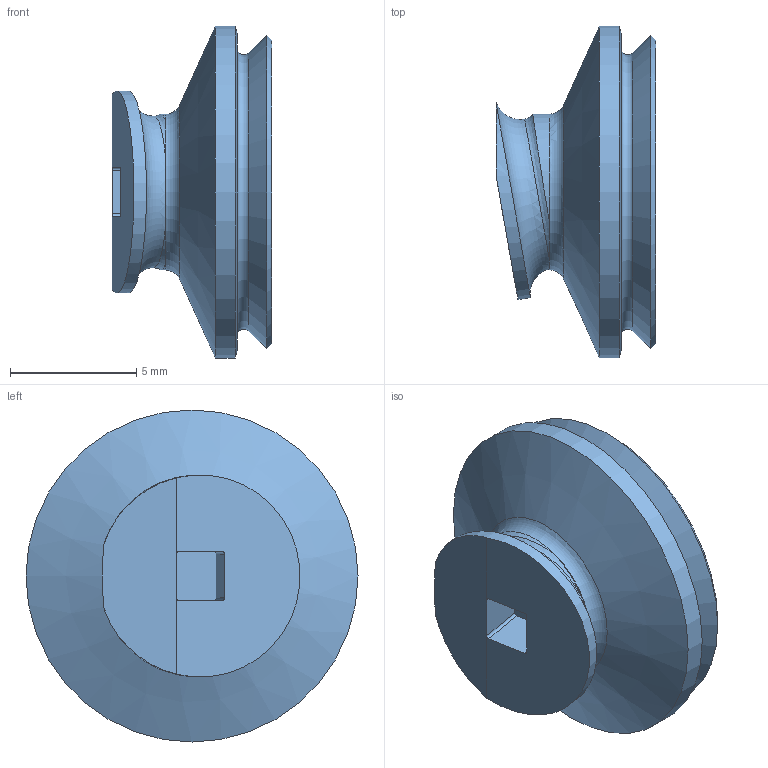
import cadquery as cq
import math


total_length = 6.31
flange_radius = 6.565
flange_front_x = 4.08
flange_back_x = 4.94
flange_chamfer_width = 0.07
flange_chamfer_height = 0.29

groove_round = 0.26
groove_floor_radius = 5.42
lip_radius = 6.19
lip_chamfer = 0.2

neck_radius = 3.08
neck_end_x = 2.1
neck_fillet = 0.63
cone_degrees = 65.4

tilt_degrees = 10
knob_centre_x = 0.167
knob_centre_y = -0.335
knob_radius = 4.0
knob_rim_width = 0.5
finger_groove_radius = 1.0
rear_groove_radius = 0.5
finger_groove_depth = knob_rim_width + finger_groove_radius
finger_groove_centre = (knob_radius, finger_groove_depth)
finger_groove_floor = (knob_radius - finger_groove_radius, finger_groove_depth)

socket_size = 1.94
socket_depth = 1.93
socket_corner_radius = 0.1


def arc_point(centre, radius, angle_degrees):
    """Point on a circle at an angle measured from the first axis."""
    angle = math.radians(angle_degrees)
    return (centre[0] + radius * math.cos(angle), centre[1] + radius * math.sin(angle))


def make_body():
    """Front cone, flange, V groove and lip, revolved about X."""
    fillet_centre = (neck_end_x, neck_radius + neck_fillet)
    fillet_middle = arc_point(fillet_centre, neck_fillet, -90 + cone_degrees / 2)
    fillet_end = arc_point(fillet_centre, neck_fillet, -90 + cone_degrees)

    groove_centre = (flange_back_x + groove_round, groove_floor_radius + groove_round)
    groove_start = arc_point(groove_centre, groove_round, 180)
    groove_middle = arc_point(groove_centre, groove_round, -90)
    groove_end = arc_point(groove_centre, groove_round, -45)

    profile = (
        cq.Workplane("XY")
        .moveTo(neck_end_x, 0)
        .lineTo(neck_end_x, neck_radius)
        .threePointArc(fillet_middle, fillet_end)
        .lineTo(flange_front_x, flange_radius)
        .lineTo(flange_back_x - flange_chamfer_width, flange_radius)
        .lineTo(flange_back_x, flange_radius - flange_chamfer_height)
        .lineTo(*groove_start)
        .threePointArc(groove_middle, groove_end)
        .lineTo(total_length - lip_chamfer, lip_radius)
        .lineTo(total_length, lip_radius - lip_chamfer)
        .lineTo(total_length, 0)
        .close()
    )
    return profile.revolve(360, (0, 0, 0), (1, 0, 0))


def knob_plane():
    """Plane of the knob face, its normal pointing into the part."""
    tilt = math.radians(tilt_degrees)
    return cq.Plane(
        origin=(knob_centre_x, knob_centre_y, 0),
        xDir=(-math.sin(tilt), math.cos(tilt), 0),
        normal=(math.cos(tilt), math.sin(tilt), 0),
    )


def knob_profile_workplane():
    """Plane through the tilted axis: local x is radial, local y is depth behind the knob face."""
    face = knob_plane()
    return cq.Workplane(cq.Plane(origin=face.origin, xDir=face.xDir, normal=(0, 0, -1)))


def make_disc():
    """Tilted disc with the front half of the finger groove, faced off at X = 0."""
    groove_middle = arc_point(finger_groove_centre, finger_groove_radius, -135)
    disc = (
        knob_profile_workplane()
        .lineTo(knob_radius, 0)
        .lineTo(knob_radius, knob_rim_width)
        .threePointArc(groove_middle, finger_groove_floor)
        .lineTo(0, finger_groove_depth)
        .close()
        .revolve(360, (0, 0, 0), (0, 1, 0))
    )
    facing_size = 4 * knob_radius
    facing_cut = cq.Workplane("YZ").rect(facing_size, facing_size).extrude(-knob_radius)
    return disc.cut(facing_cut)


def make_neck():
    """Straight neck behind the disc, hollowed by the tighter rear half of the finger groove."""
    groove_centre = (finger_groove_floor[0] + rear_groove_radius, finger_groove_depth)
    groove_middle = arc_point(groove_centre, rear_groove_radius, 135)
    groove_end = arc_point(groove_centre, rear_groove_radius, 90)
    stock_depth = finger_groove_depth + 2 * finger_groove_radius
    grooved_stock = (
        knob_profile_workplane()
        .moveTo(0, finger_groove_depth)
        .lineTo(*finger_groove_floor)
        .threePointArc(groove_middle, groove_end)
        .lineTo(knob_radius, groove_end[1])
        .lineTo(knob_radius, stock_depth)
        .lineTo(0, stock_depth)
        .close()
        .revolve(360, (0, 0, 0), (0, 1, 0))
    )
    straight_neck = cq.Workplane("YZ").circle(neck_radius).extrude(neck_end_x)
    return grooved_stock.intersect(straight_neck)


def make_socket():
    """Square blind hole with rounded corners, open at the knob face."""
    return (
        cq.Workplane(knob_plane())
        .rect(socket_size, socket_size)
        .extrude(socket_depth)
        .edges(cq.selectors.ParallelDirSelector(knob_plane().zDir))
        .fillet(socket_corner_radius)
    )


result = make_body().union(make_neck()).union(make_disc()).cut(make_socket())